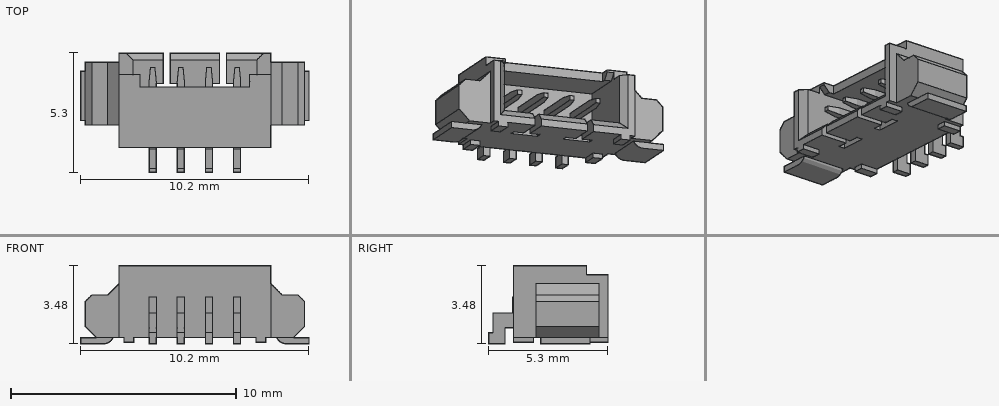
import cadquery as cq
import math


body_length = 6.75
body_depth = 4.2
body_bottom = 0.28
body_top = 3.48
mouth_step_depth = 0.95
mouth_step_drop = 0.4
roof_notch_length = 4.87
roof_notch_y = 2.7

wall = 0.62
lead_in = 0.3

lock_slot_width = 0.3
lock_slot_depth = 1.36

foot_width = 0.45
foot_length = 0.89
foot_height = 0.21
foot_inset = 0.22

wing_reach = 1.5
wing_y_front = 1.0
wing_y_back = 3.8
wing_top = 2.18
wing_top_chamfer = 0.3
wing_bottom_chamfer = 0.5
wing_gusset_leg = 0.5

tab_span = 10.15
tab_y_front = 1.2
tab_y_back = 3.4
tab_thickness = body_bottom
tab_inner_x = 3.63
tab_bend_radius = 0.5

pin_count = 4
pin_pitch = 1.25
pin_width = 0.32
pin_top = 2.08
pin_face_proud = 0.05
arm_bottom = 0.71
arm_top = 1.38
tail_y_back = -0.37
tail_y_front = -0.92
toe_y = -1.1
toe_top = 0.5
blade_tip_y = 3.555
blade_taper_length = 0.615
blade_tip_width = 0.2

body_half = body_length / 2
mouth_step_y = body_depth - mouth_step_depth
cavity_half = body_half - wall
cavity_floor = body_bottom + wall
cavity_ceiling = body_top - mouth_step_drop
lock_slot_end_y = body_depth - lock_slot_depth


def box_between(x0, x1, y0, y1, z0, z1):
    """Box given by its limits along each axis."""
    return cq.Workplane("XY").box(x1 - x0, y1 - y0, z1 - z0, centered=False).translate((x0, y0, z0))


def centred_row(count, pitch):
    """Evenly spaced X places, centred on X = 0."""
    return [(i - (count - 1) / 2) * pitch for i in range(count)]


def make_shell():
    """Housing block with the lowered rim at the mouth and the notch in the roof."""
    block = box_between(-body_half, body_half, 0, body_depth, body_bottom, body_top)
    rim_step = box_between(-body_half, body_half, mouth_step_y, body_depth, cavity_ceiling, body_top)
    notch_half = roof_notch_length / 2
    roof_notch = box_between(-notch_half, notch_half, roof_notch_y, body_depth, cavity_ceiling, body_top)
    return block.cut(rim_step).cut(roof_notch)


def make_cavity():
    """Mating cavity with a flared mouth and a lead-in under the roof edge."""
    cavity = box_between(-cavity_half, cavity_half, wall, body_depth, cavity_floor, cavity_ceiling)

    flare_height = cavity_ceiling - cavity_floor
    flare_outer_half = cavity_half + lead_in
    flare = (
        cq.Workplane("XZ", origin=(0, body_depth - lead_in, 0))
        .center(0, cavity_floor + flare_height / 2)
        .rect(2 * cavity_half, flare_height)
        .workplane(offset=-lead_in)
        .center(0, -lead_in / 2)
        .rect(2 * flare_outer_half, flare_height + lead_in)
        .loft(ruled=True)
    )
    roof_lead_in = (
        cq.Workplane("YZ", origin=(-cavity_half, 0, 0))
        .moveTo(mouth_step_y - lead_in, cavity_ceiling)
        .lineTo(mouth_step_y, cavity_ceiling)
        .lineTo(mouth_step_y, cavity_ceiling + lead_in)
        .close()
        .extrude(2 * cavity_half)
    )
    return cavity.union(flare).union(roof_lead_in)


def make_lock_slot(x):
    """T-shaped slot through the cavity floor; its cross bar spans one pin pitch."""
    half_width = lock_slot_width / 2
    half_bar = pin_pitch / 2
    bar_y = lock_slot_end_y - lock_slot_width
    stem = box_between(x - half_width, x + half_width, bar_y, body_depth, body_bottom, cavity_floor)
    bar = box_between(x - half_bar, x + half_bar, bar_y, lock_slot_end_y, body_bottom, cavity_floor)
    return stem.union(bar)


def make_feet():
    """Four standoff feet near the corners of the housing underside."""
    foot_outer_x = body_half - foot_inset
    feet = cq.Workplane("XY")
    for x in (-foot_outer_x, foot_outer_x - foot_width):
        for y in (0, body_depth - foot_length):
            foot = box_between(x, x + foot_width, y, y + foot_length, body_bottom - foot_height, body_bottom)
            feet = feet.add(foot)
    return feet.combine()


def make_wing():
    """Chamfered wing on the +X end of the housing."""
    outer_x = body_half + wing_reach
    return (
        cq.Workplane("XZ", origin=(0, wing_y_front, 0))
        .moveTo(body_half, body_bottom)
        .lineTo(outer_x - wing_bottom_chamfer, body_bottom)
        .lineTo(outer_x, body_bottom + wing_bottom_chamfer)
        .lineTo(outer_x, wing_top - wing_top_chamfer)
        .lineTo(outer_x - wing_top_chamfer, wing_top)
        .lineTo(body_half + wing_gusset_leg, wing_top)
        .lineTo(body_half, wing_top + wing_gusset_leg)
        .close()
        .extrude(-(wing_y_back - wing_y_front))
    )


def make_tab():
    """Solder tab under the +X wing, its inner end rounded upwards as the start of a bend."""
    rise = tab_bend_radius - tab_thickness
    bend_run = math.sqrt(tab_bend_radius**2 - rise**2)
    bend_x = tab_inner_x + bend_run
    half_angle = math.acos(rise / tab_bend_radius) / 2
    arc_mid = (
        bend_x - tab_bend_radius * math.sin(half_angle),
        tab_bend_radius * (1 - math.cos(half_angle)),
    )
    return (
        cq.Workplane("XZ", origin=(0, tab_y_front, 0))
        .moveTo(tab_span / 2, 0)
        .lineTo(bend_x, 0)
        .threePointArc(arc_mid, (tab_inner_x, tab_thickness))
        .lineTo(tab_span / 2, tab_thickness)
        .close()
        .extrude(-(tab_y_back - tab_y_front))
    )


def make_pin(x):
    """Bent pin: soldering tail, upright in the housing wall and tapered mating blade."""
    taper_y = blade_tip_y - blade_taper_length
    blade_bottom = pin_top - pin_width
    bent_strip = (
        cq.Workplane("YZ", origin=(x - pin_width / 2, 0, 0))
        .moveTo(toe_y, 0)
        .lineTo(tail_y_back, 0)
        .lineTo(tail_y_back, arm_bottom)
        .lineTo(pin_width, arm_bottom)
        .lineTo(pin_width, blade_bottom)
        .lineTo(taper_y, blade_bottom)
        .lineTo(taper_y, pin_top)
        .lineTo(-pin_face_proud, pin_top)
        .lineTo(-pin_face_proud, arm_top)
        .lineTo(tail_y_front, arm_top)
        .lineTo(tail_y_front, toe_top)
        .lineTo(toe_y, toe_top)
        .close()
        .extrude(pin_width)
    )
    tip = (
        cq.Workplane("XZ", origin=(x, taper_y, pin_top - pin_width / 2))
        .rect(pin_width, pin_width)
        .workplane(offset=-blade_taper_length)
        .rect(blade_tip_width, blade_tip_width)
        .loft(ruled=True)
    )
    return bent_strip.union(tip)


result = make_shell().cut(make_cavity())

for slot_x in (-pin_pitch, pin_pitch):
    result = result.cut(make_lock_slot(slot_x))

result = result.union(make_feet())

for end_part in (make_wing(), make_tab()):
    result = result.union(end_part).union(end_part.mirror("YZ"))

for pin_x in centred_row(pin_count, pin_pitch):
    result = result.union(make_pin(pin_x))